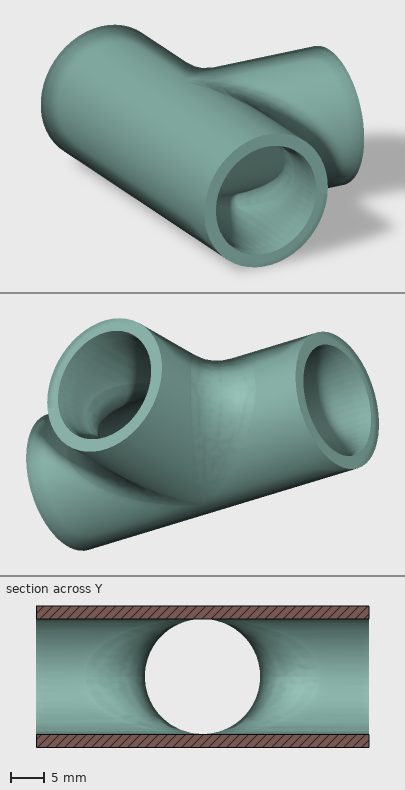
import cadquery as cq

run_length = 50.0
outer_diameter = 21.3
bore_diameter = 17.3
branch_reach = 25.0

wall = (outer_diameter - bore_diameter) / 2
outer_crotch_radius = 7.0
inner_crotch_radius = outer_crotch_radius + wall

crotch_clearance = 0.05
crotch_box = cq.selectors.BoxSelector(
    (-run_length / 2 + crotch_clearance, crotch_clearance, -outer_diameter / 2),
    (run_length / 2 - crotch_clearance, branch_reach - crotch_clearance, outer_diameter / 2),
)


def tee(diameter, crotch_radius):
    """Solid tee of two equal cylinders, rounded where the branch meets the run."""
    run = cq.Workplane("YZ").circle(diameter / 2).extrude(run_length / 2, both=True)
    branch = cq.Workplane("XZ").circle(diameter / 2).extrude(-branch_reach)
    return run.union(branch).edges(crotch_box).fillet(crotch_radius)


outside = tee(outer_diameter, outer_crotch_radius)
inside = tee(bore_diameter, inner_crotch_radius)
result = outside.cut(inside)